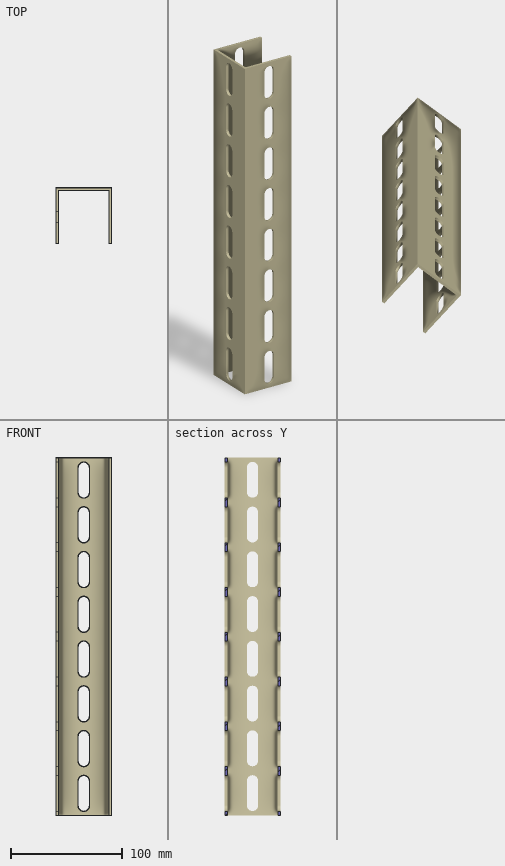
import cadquery as cq

width = 50.0
depth = 50.0
length = 320.0
thickness = 2.5

slot_pitch = 40.0
slot_length = 32.0
slot_width = 10.0
upright = 90
slot_count = int(length / slot_pitch)
slot_heights = [(i + 0.5) * slot_pitch for i in range(slot_count)]

leg_slot_y = -thickness / 2


def make_channel():
    """U-shaped channel with its web on the +Y side, open toward -Y."""
    outer = cq.Workplane("XY").box(width, depth, length, centered=(True, True, False))
    inner = (
        cq.Workplane("XY")
        .center(0, -thickness)
        .box(width - 2 * thickness, depth, length, centered=(True, True, False))
    )
    return outer.cut(inner)


def slot_row(plane, across):
    """Outlines of a row of upright slots on the plane, ready to extrude.

    across is the position of the row along the horizontal axis of the plane.
    """
    centers = [(across, z) for z in slot_heights]
    return plane.pushPoints(centers).slot2D(slot_length, slot_width, upright)


web_slots = slot_row(cq.Workplane("XZ", origin=(0, depth / 2, 0)), 0).extrude(thickness)

leg_slots = slot_row(cq.Workplane("YZ", origin=(-width / 2, 0, 0)), leg_slot_y).extrude(width)

result = make_channel().cut(web_slots).cut(leg_slots)